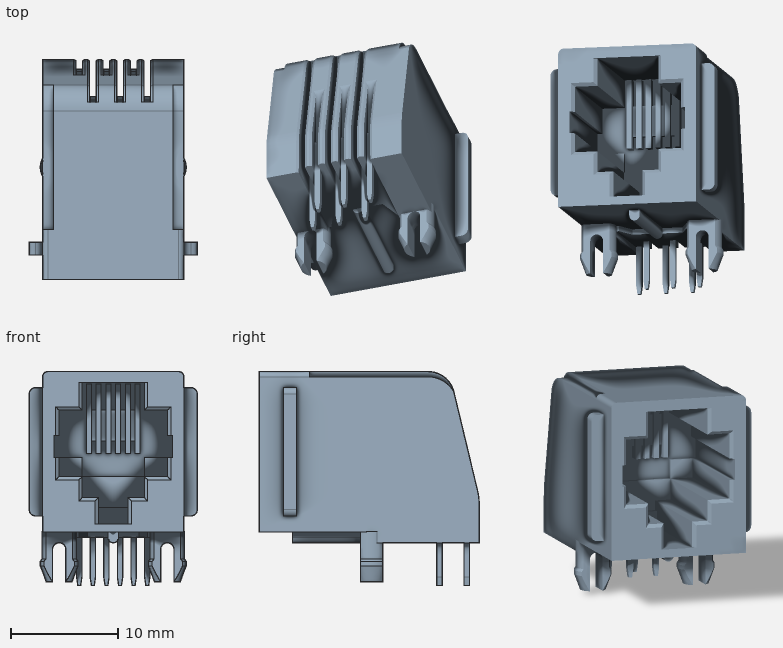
import cadquery as cq
import math


WIDTH = 13.2
DEPTH = 20.57
HEIGHT = 15.0
REAR_BEND_Z = 3.2
REAR_LEAN = 13.5
REAR_BEND_RADIUS = 6.0
TOP_REAR_RADIUS = 2.5
STEP_Y = 10.89
FOOT_DROP = 1.0
WEB_DROP = 0.5
FOOT_INNER_X = 3.5

FRONT_EDGE_RADIUS = 0.5
LEDGE_START_Y = 4.69
LEDGE_WIDTH = 1.0
LEDGE_DROP = 0.5

EAR_SPAN = 15.7
EAR_FRONT_Y = 2.3
EAR_THICKNESS = 1.2
EAR_BOTTOM_Z = 1.5
EAR_TOP_Z = 13.5
EAR_RADIUS = 0.6

BEVEL = 0.31
CONTACT_BAY_HALF = 2.91
CONTACT_BAY_TOP = 13.97
PLUG_HALF = 5.07
PLUG_BOTTOM = 5.18
PLUG_TOP = 11.39
KEY_HALF = CONTACT_BAY_HALF
KEY_BOTTOM = 3.21
LATCH_HALF = 1.4
LATCH_BOTTOM = 0.78
CAVITY_DEPTH = 12.0
LOWER_DEPTH = 11.5
SIDE_GROOVE_HALF = 5.53
SIDE_GROOVE_BOTTOM = 6.97
SIDE_GROOVE_TOP = 9.0
LATCH_STOP_TOP = 2.29
LATCH_STOP_LENGTH = 0.5

CONTACT_COUNT = 6
CONTACT_PITCH = 0.91
CONTACT_WIDTH = 0.48
CONTACT_BOTTOM = 7.32
CONTACT_TOP = 13.83
CONTACT_LENGTH = 1.0
COMB_BOTTOM = 8.5
COMB_LENGTH = 0.5

PIN_COUNT = 6
PIN_PITCH = 1.27
PIN_WIDTH = 0.52
PIN_THICKNESS = 0.55
REAR_PIN_Y = 19.385
PIN_ROWS_Y = (REAR_PIN_Y, REAR_PIN_Y - 2 * PIN_PITCH)
PIN_TIP_Z = -5.0
PIN_TAPER_LENGTH = 0.8
PIN_TIP_WIDTH = 0.28
PIN_TOP_Z = 3.0
PIN_TOP_CHAMFERS = (0.2, 0.36)
SLOT_WIDTH = 0.6
SLOT_CHAMFER_WIDTH = 0.22
SLOT_CHAMFER_DEPTH = 0.13

PEG_X = 5.05
PEG_Y = 10.5
PEG_RADIUS = 1.625
PEG_THICKNESS = 2.1
PEG_TOP_Z = 0.08
BARB_RADIUS = 1.77
BARB_START_Z = -2.5
BARB_FULL_Z = -2.75
BARB_CONE_Z = -3.15
PEG_TIP_Z = -4.65
PEG_TIP_RADIUS = 1.21
PEG_SLOT_WIDTH = 1.22
PEG_SLOT_TOP_Z = -1.0

RIB_WIDTH = 1.0
RIB_FRONT_Y = 3.1
RECESS_MOUTH_HALF = 3.215
RECESS_FLOOR_HALF = 2.41
RECESS_DEPTH = 2.0


def box(x0, x1, y0, y1, z0, z1):
    """Block given by its limits along each axis."""
    return cq.Workplane("XY").box(x1 - x0, y1 - y0, z1 - z0, centered=False).translate((x0, y0, z0))


LEAN = math.radians(REAR_LEAN)
ROOF_END_Y = DEPTH - (HEIGHT - REAR_BEND_Z) * math.tan(LEAN)
ROOF_TANGENT = TOP_REAR_RADIUS * math.tan((math.pi / 2 - LEAN) / 2)
BEND_TANGENT = REAR_BEND_RADIUS * math.tan(LEAN / 2)
ARC_START_Y = ROOF_END_Y - ROOF_TANGENT
ARC_END = (ROOF_END_Y + ROOF_TANGENT * math.sin(LEAN), HEIGHT - ROOF_TANGENT * math.cos(LEAN))
BEND_UPPER = (DEPTH - BEND_TANGENT * math.sin(LEAN), REAR_BEND_Z + BEND_TANGENT * math.cos(LEAN))
BEND_LOWER = (DEPTH, REAR_BEND_Z - BEND_TANGENT)


def rear_outline(plane, bottom_z, front_y):
    """Side outline from a straight front edge to the leaning, rounded rear wall."""
    return (
        plane.moveTo(front_y, bottom_z)
        .lineTo(front_y, HEIGHT)
        .lineTo(ARC_START_Y, HEIGHT)
        .tangentArcPoint(ARC_END, relative=False)
        .lineTo(*BEND_UPPER)
        .tangentArcPoint(BEND_LOWER, relative=False)
        .lineTo(DEPTH, bottom_z)
        .close()
    )


def make_housing():
    """Plain outer block with the stepped underside and two rear feet."""
    plane = cq.Workplane("YZ", origin=(-WIDTH / 2, 0, 0))
    housing = rear_outline(plane, -FOOT_DROP, 0).extrude(WIDTH)
    housing = housing.cut(box(-WIDTH, WIDTH, 0, STEP_Y, -FOOT_DROP, 0))
    return housing.cut(box(-FOOT_INNER_X, FOOT_INNER_X, STEP_Y, DEPTH, -FOOT_DROP, -WEB_DROP))


def top_edge_cutter():
    """Rounded front edge and the ledge behind it, for the -X side."""
    side_x = -WIDTH / 2
    radius = FRONT_EDGE_RADIUS
    corner = box(side_x, side_x + radius, 0, LEDGE_START_Y, HEIGHT - radius, HEIGHT)
    rounding = (
        cq.Workplane("XZ", origin=(side_x + radius, 0, HEIGHT - radius))
        .circle(radius)
        .extrude(-LEDGE_START_Y)
    )
    ledge = (
        cq.Workplane("YZ", origin=(side_x, 0, 0))
        .moveTo(LEDGE_START_Y, HEIGHT)
        .lineTo(LEDGE_START_Y, HEIGHT - LEDGE_DROP)
        .lineTo(ARC_START_Y, HEIGHT - LEDGE_DROP)
        .tangentArcPoint(ARC_END, relative=False)
        .lineTo(ARC_END[0], HEIGHT)
        .close()
        .extrude(LEDGE_WIDTH)
    )
    return corner.cut(rounding).union(ledge)


def make_ears():
    """Thin upright flange across both sides, with rounded corners."""
    ears = box(-EAR_SPAN / 2, EAR_SPAN / 2, EAR_FRONT_Y, EAR_FRONT_Y + EAR_THICKNESS, EAR_BOTTOM_Z, EAR_TOP_Z)
    return ears.edges("|Y").fillet(EAR_RADIUS)


def opening_section(half_width, bottom, top, depth, bevel_bottom, bevel_top):
    """One rectangular part of the plug passage with its 45 degree lead-in."""
    passage = box(-half_width, half_width, 0, depth, bottom, top)
    mouth_bottom = bottom - BEVEL if bevel_bottom else bottom
    mouth_top = top + BEVEL if bevel_top else top
    lead_in = (
        cq.Workplane("XZ")
        .center(0, (mouth_bottom + mouth_top) / 2)
        .rect(2 * (half_width + BEVEL), mouth_top - mouth_bottom)
        .workplane(offset=-BEVEL)
        .center(0, (bottom + top - mouth_bottom - mouth_top) / 2)
        .rect(2 * half_width, top - bottom)
        .loft(ruled=True)
    )
    return passage.union(lead_in)


def make_cavity():
    """Stepped plug passage, ending at different depths, with grooves in its side walls."""
    cavity = opening_section(PLUG_HALF, PLUG_BOTTOM, PLUG_TOP, CAVITY_DEPTH, True, True)
    bay = opening_section(CONTACT_BAY_HALF, PLUG_BOTTOM, CONTACT_BAY_TOP, CAVITY_DEPTH, False, False)
    key = opening_section(KEY_HALF, KEY_BOTTOM, PLUG_TOP, LOWER_DEPTH, True, False)
    latch = opening_section(LATCH_HALF, LATCH_BOTTOM, PLUG_BOTTOM, LOWER_DEPTH, False, False)
    groove = box(
        -SIDE_GROOVE_HALF, SIDE_GROOVE_HALF, 0, CAVITY_DEPTH, SIDE_GROOVE_BOTTOM, SIDE_GROOVE_TOP
    )
    cavity = cavity.union(bay).union(key).union(latch).union(groove)
    for side in (-1, 1):
        inner, outer = sorted((side * CONTACT_BAY_HALF, side * PLUG_HALF))
        cavity = cavity.cut(box(inner, outer, LOWER_DEPTH, CAVITY_DEPTH, PLUG_BOTTOM, SIDE_GROOVE_BOTTOM))
    latch_stop = box(
        -LATCH_HALF, LATCH_HALF, LOWER_DEPTH - LATCH_STOP_LENGTH, LOWER_DEPTH, LATCH_BOTTOM, LATCH_STOP_TOP
    )
    return cavity.cut(latch_stop)


def make_contacts():
    """Upright contact strips and the comb between them."""
    span = (CONTACT_COUNT - 1) * CONTACT_PITCH
    contacts = box(-span / 2, span / 2, CAVITY_DEPTH - COMB_LENGTH, CAVITY_DEPTH, COMB_BOTTOM, PLUG_TOP)
    for index in range(CONTACT_COUNT):
        left = index * CONTACT_PITCH - span / 2 - CONTACT_WIDTH / 2
        contacts = contacts.union(
            box(
                left, left + CONTACT_WIDTH,
                CAVITY_DEPTH - CONTACT_LENGTH, CAVITY_DEPTH,
                CONTACT_BOTTOM, CONTACT_TOP,
            )
        )
    return contacts


def rear_slot(x, end_y):
    """Full-height slot open to the rear, with chamfered edges on the outer surface."""
    half_slot = SLOT_WIDTH / 2
    half_mouth = half_slot + SLOT_CHAMFER_WIDTH
    flank_angle = math.degrees(math.atan2(SLOT_CHAMFER_DEPTH, SLOT_CHAMFER_WIDTH))
    below = -2 * FOOT_DROP
    mouth = box(-half_mouth, half_mouth, end_y, DEPTH, -FOOT_DROP, HEIGHT)
    plane = cq.Workplane("YZ", origin=(half_mouth, 0, 0))
    flank = rear_outline(plane, below, STEP_Y).extrude(-SLOT_CHAMFER_WIDTH, taper=flank_angle)
    slot = mouth.cut(flank).cut(flank.mirror("YZ"))
    slot = slot.union(box(-half_slot, half_slot, end_y, DEPTH, -FOOT_DROP, HEIGHT))
    return slot.translate((x, 0, 0))


def solder_pin(x, y, top_chamfer):
    """Slender pin with a tapered tip and a chamfer on its top rear edge."""
    half = PIN_WIDTH / 2
    pin = (
        cq.Workplane("XZ", origin=(0, -PIN_THICKNESS / 2, 0))
        .moveTo(-half, PIN_TOP_Z)
        .lineTo(half, PIN_TOP_Z)
        .lineTo(half, PIN_TIP_Z + PIN_TAPER_LENGTH)
        .lineTo(PIN_TIP_WIDTH / 2, PIN_TIP_Z)
        .lineTo(-PIN_TIP_WIDTH / 2, PIN_TIP_Z)
        .lineTo(-half, PIN_TIP_Z + PIN_TAPER_LENGTH)
        .close()
        .extrude(-PIN_THICKNESS)
    )
    return pin.faces(">Z").edges(">Y").chamfer(top_chamfer).translate((x, y, 0))


def board_peg(x):
    """Split snap peg: a barbed round pin with flat front and rear faces."""
    turned = (
        cq.Workplane("XZ")
        .moveTo(0, PEG_TOP_Z)
        .lineTo(PEG_RADIUS, PEG_TOP_Z)
        .lineTo(PEG_RADIUS, BARB_START_Z)
        .lineTo(BARB_RADIUS, BARB_FULL_Z)
        .lineTo(BARB_RADIUS, BARB_CONE_Z)
        .lineTo(PEG_TIP_RADIUS, PEG_TIP_Z)
        .lineTo(0, PEG_TIP_Z)
        .close()
        .revolve(360, (0, 0, 0), (0, 1, 0))
    )
    half = PEG_THICKNESS / 2
    peg = turned.intersect(box(-BARB_RADIUS, BARB_RADIUS, -half, half, PEG_TIP_Z, PEG_TOP_Z))
    slot_radius = PEG_SLOT_WIDTH / 2
    arch_z = PEG_SLOT_TOP_Z - slot_radius
    slot = box(-slot_radius, slot_radius, -half, half, PEG_TIP_Z, arch_z)
    arch = cq.Workplane("XZ", origin=(0, -half, arch_z)).circle(slot_radius).extrude(-PEG_THICKNESS)
    return peg.cut(slot.union(arch)).translate((x, PEG_Y, 0))


def underside_recess():
    """Recess in the step face, narrowing toward its floor."""
    return (
        cq.Workplane("XY", origin=(0, 0, -WEB_DROP))
        .moveTo(-RECESS_MOUTH_HALF, STEP_Y)
        .lineTo(RECESS_MOUTH_HALF, STEP_Y)
        .lineTo(RECESS_FLOOR_HALF, STEP_Y + RECESS_DEPTH)
        .lineTo(-RECESS_FLOOR_HALF, STEP_Y + RECESS_DEPTH)
        .close()
        .extrude(WEB_DROP)
    )


def underside_rib():
    """Centre rib with a half-round lower edge."""
    radius = RIB_WIDTH / 2
    return (
        cq.Workplane("XZ", origin=(0, RIB_FRONT_Y, 0))
        .moveTo(-radius, 0)
        .lineTo(-radius, -radius)
        .threePointArc((0, -RIB_WIDTH), (radius, -radius))
        .lineTo(radius, 0)
        .close()
        .extrude(-(STEP_Y + RECESS_DEPTH - RIB_FRONT_Y))
    )


edge_cutter = top_edge_cutter()
result = make_housing().cut(edge_cutter).cut(edge_cutter.mirror("YZ"))
result = result.union(make_ears()).cut(make_cavity()).union(make_contacts())
result = result.cut(underside_recess()).union(underside_rib())

for pin_index in range(PIN_COUNT):
    pin_x = (pin_index - (PIN_COUNT - 1) / 2) * PIN_PITCH
    row = pin_index % len(PIN_ROWS_Y)
    pin_y = PIN_ROWS_Y[row]
    result = result.cut(rear_slot(pin_x, pin_y - PIN_THICKNESS / 2))
    result = result.union(solder_pin(pin_x, pin_y, PIN_TOP_CHAMFERS[row]))

for peg_x in (-PEG_X, PEG_X):
    result = result.union(board_peg(peg_x))